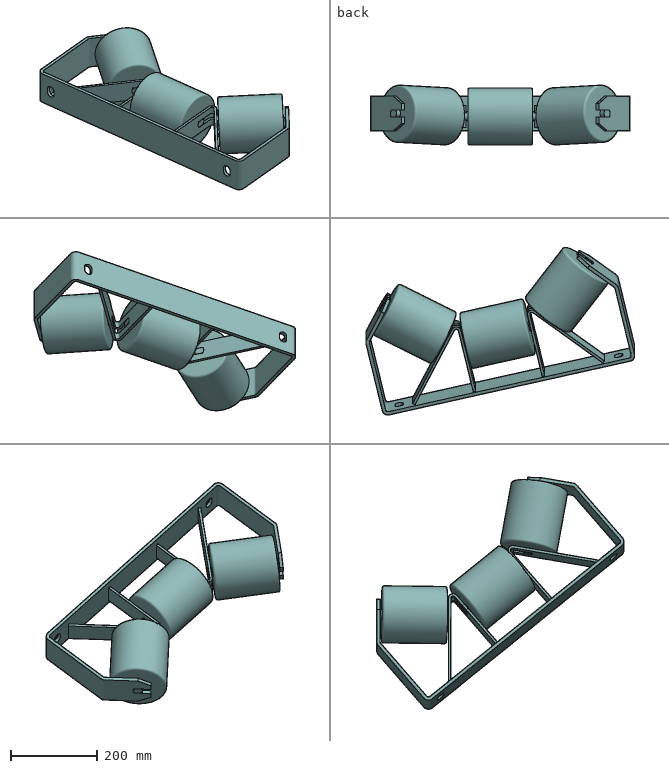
import cadquery as cq
import math

roller_diameter = 133.0
roller_length = 150.0
roller_edge_radius = 5.0
shaft_diameter = 22.0
shaft_flats = 16.0
seat_distance = 79.0
shoulder_clearance = 0.6
roller_drop = 6.85
middle_roller_y = 125.0
side_angle = 40.0

frame_width = 600.0
frame_height = 80.0
frame_thickness = 8.0
frame_bend_radius = 14.0
arm_reach = 30.0
arm_corner_length = 30.0
arm_corner_height = 17.0
mount_slot_width = 19.0
mount_slot_length = 27.5
mount_slot_x = 261.0

bracket_height = 50.0
bracket_thickness = 6.0
bracket_bend_radius = 11.0
bend_to_shaft = 34.0

cos_side = math.cos(math.radians(side_angle))
sin_side = math.sin(math.radians(side_angle))
outward = (-cos_side, sin_side)
along_arm = (sin_side, cos_side)


def offset(point, out=0.0, along=0.0):
    """Move a plan point in the directions of the left side roller."""
    return (
        point[0] + out * outward[0] + along * along_arm[0],
        point[1] + out * outward[1] + along * along_arm[1],
    )


def mirrored(body):
    return body.mirror("YZ")


bend_axis = (-seat_distance - bracket_bend_radius, middle_roller_y + bend_to_shaft)
side_center = offset(bend_axis, out=seat_distance + bracket_bend_radius, along=-bend_to_shaft)

arm_mid = seat_distance + frame_thickness / 2
leg_mid = seat_distance + bracket_thickness / 2
rise = roller_drop / (arm_mid + leg_mid)
tilt = math.atan(rise)
side_center_z = -arm_mid * rise

middle_plane = cq.Plane(origin=(0, middle_roller_y, -roller_drop), xDir=(0, 1, 0), normal=(-1, 0, 0))
side_plane = cq.Plane(
    origin=(*side_center, side_center_z),
    xDir=(*along_arm, 0),
    normal=(*outward, math.tan(tilt)),
)


def flatted_bar(plane, start, end):
    """Length of shaft with two flats, between two distances along its axis."""
    bar = cq.Workplane(plane).workplane(offset=start).circle(shaft_diameter / 2).extrude(end - start)
    flats = (
        cq.Workplane(plane).workplane(offset=start)
        .rect(2 * shaft_diameter, shaft_flats).extrude(end - start)
    )
    return bar.intersect(flats)


def shaft_slot(plane, start, end, length):
    """Cutter for a slot that ends round the flatted shaft and runs along local X."""
    run = (
        cq.Workplane(plane).workplane(offset=start)
        .center(length / 2, 0).rect(length, shaft_flats).extrude(end - start)
    )
    return flatted_bar(plane, start, end).union(run)


def make_roller(plane, near_end, far_end):
    """Roller with its shaft; the ends are distances along the shaft axis."""
    shoulder = seat_distance - shoulder_clearance
    barrel = (
        cq.Workplane(plane).workplane(offset=-roller_length / 2)
        .circle(roller_diameter / 2).extrude(roller_length)
        .edges().fillet(roller_edge_radius)
    )
    shaft = cq.Workplane(plane).circle(shaft_diameter / 2).extrude(shoulder, both=True)
    return barrel.union(shaft).union(flatted_bar(plane, near_end, far_end))


def make_frame():
    """Bent strip along the back and sides, with slanted arms for the side rollers."""
    arm_outside = offset(side_center, out=seat_distance + frame_thickness)
    tip_outside = offset(arm_outside, along=arm_reach)
    tip_inside = offset(tip_outside, out=-frame_thickness)
    half_width = frame_width / 2
    inner_half_width = half_width - frame_thickness
    arm_slope = along_arm[1] / along_arm[0]
    corner_y = tip_outside[1] - (tip_outside[0] + half_width) * arm_slope
    inner_corner_y = tip_inside[1] - (tip_inside[0] + inner_half_width) * arm_slope

    half = (
        cq.Workplane("XY").workplane(offset=-frame_height / 2)
        .moveTo(0, 0)
        .lineTo(-half_width, 0)
        .lineTo(-half_width, corner_y)
        .lineTo(*tip_outside)
        .lineTo(*tip_inside)
        .lineTo(-inner_half_width, inner_corner_y)
        .lineTo(-inner_half_width, frame_thickness)
        .lineTo(0, frame_thickness)
        .close()
        .extrude(frame_height)
    )
    for radius, points in (
        (frame_bend_radius, [(-half_width, 0), (-half_width, corner_y)]),
        (
            frame_bend_radius - frame_thickness,
            [(-inner_half_width, frame_thickness), (-inner_half_width, inner_corner_y)],
        ),
    ):
        for x, y in points:
            half = half.edges(cq.selectors.NearestToPointSelector((x, y, 0))).fillet(radius)

    arm_plane = cq.Plane(origin=(*tip_outside, 0), xDir=(*along_arm, 0), normal=(*outward, 0))
    for side in (1, -1):
        top = side * frame_height / 2
        corner = (
            cq.Workplane(arm_plane)
            .polyline([(0, top), (-arm_corner_length, top), (0, top - side * arm_corner_height)])
            .close()
            .extrude(2 * frame_thickness, both=True)
        )
        half = half.cut(corner)

    slot_start = seat_distance - frame_thickness / 2
    slot_end = seat_distance + 1.5 * frame_thickness
    half = half.cut(shaft_slot(side_plane, slot_start, slot_end, 2 * arm_reach))
    mount_slot = (
        cq.Workplane("XZ").center(-mount_slot_x, 0)
        .slot2D(mount_slot_length, mount_slot_width, 90)
        .extrude(-frame_thickness)
    )
    half = half.cut(mount_slot)
    return half.union(mirrored(half))


def make_bracket():
    """Left bracket: an upright leg, a round bend and a slanted leg, slotted over the bend."""
    inner_radius = bracket_bend_radius - bracket_thickness
    half_sweep = math.radians(180 - side_angle) / 2
    bend_middle = (math.cos(half_sweep), math.sin(half_sweep))

    def on_bend(radius):
        return (bend_axis[0] + radius * bend_middle[0], bend_axis[1] + radius * bend_middle[1])

    slant_outer = offset(bend_axis, out=bracket_bend_radius)
    slant_inner = offset(bend_axis, out=inner_radius)
    slant_length = (slant_inner[1] - frame_thickness) / along_arm[1]
    body = (
        cq.Workplane("XY").workplane(offset=-roller_drop - bracket_height / 2)
        .moveTo(bend_axis[0] + inner_radius, frame_thickness)
        .lineTo(bend_axis[0] + bracket_bend_radius, frame_thickness)
        .lineTo(bend_axis[0] + bracket_bend_radius, bend_axis[1])
        .threePointArc(on_bend(bracket_bend_radius), slant_outer)
        .lineTo(*offset(slant_outer, along=-slant_length))
        .lineTo(*offset(slant_inner, along=-slant_length))
        .lineTo(*slant_inner)
        .threePointArc(on_bend(inner_radius), (bend_axis[0] + inner_radius, bend_axis[1]))
        .close()
        .extrude(bracket_height)
    )
    slot_start = seat_distance - bracket_thickness / 2
    slot_end = seat_distance + 1.5 * bracket_thickness
    upright_slot = shaft_slot(middle_plane, slot_start, slot_end, bend_to_shaft)
    slanted_slot = shaft_slot(side_plane, -slot_end, -slot_start, bend_to_shaft)
    bend_slot = (
        cq.Workplane("XY", origin=(*bend_axis, -roller_drop))
        .circle(bracket_bend_radius + bracket_thickness)
        .extrude(shaft_flats / 2, both=True)
    )
    return body.cut(upright_slot).cut(slanted_slot).cut(bend_slot)


bracket_shaft_end = seat_distance + bracket_thickness
arm_shaft_end = seat_distance + frame_thickness

frame = make_frame()
left_bracket = make_bracket()
middle_roller = make_roller(middle_plane, -bracket_shaft_end, bracket_shaft_end)
left_roller = make_roller(side_plane, -bracket_shaft_end, arm_shaft_end)

bodies = [frame, middle_roller]
for left_body in (left_bracket, left_roller):
    bodies += [left_body, mirrored(left_body)]

result = cq.Compound.makeCompound([body.val() for body in bodies])